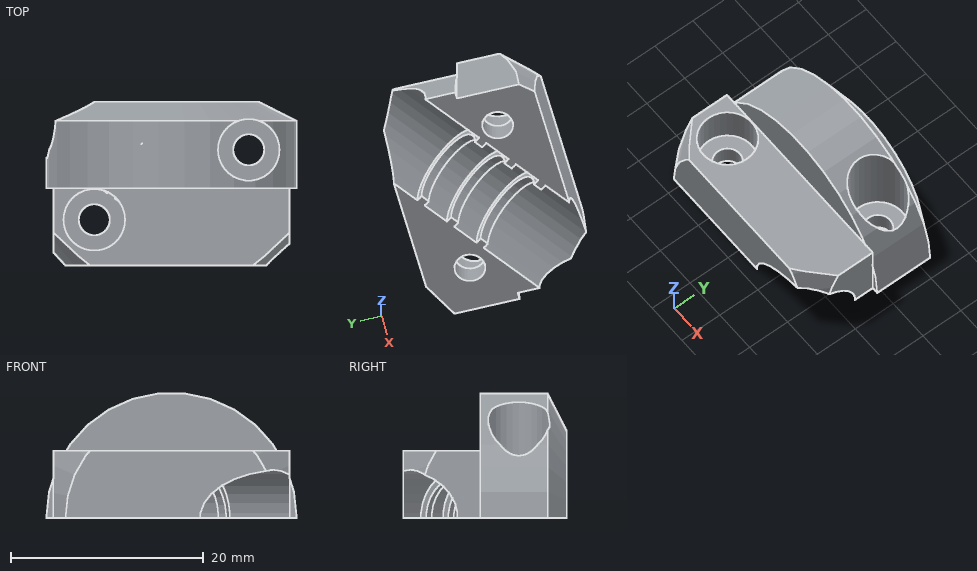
import cadquery as cq

FLATS = 30

DISC_RADIUS = 13.0
DISC_THICKNESS = 7.0
BACK_TAPER_DEPTH = 2.0
BACK_TAPER_RADIUS = 9.05

BLOCK_WIDTH = 24.5
BLOCK_DEPTH = 8.0
BLOCK_HEIGHT = 7.0
TRIM_FRONT_RADIUS = 11.0
TRIM_BACK_RADIUS = 18.4

SCREW_X = 8.0
SCREW_CENTRES = [(-SCREW_X, -3.25), (SCREW_X, 4.0)]
SCREW_DIAMETER = 3.2
SCREW_HEAD_DIAMETER = 6.4
SCREW_SEAT_HEIGHT = 2.47

HOSE_ANGLE = 35.0
HOSE_RADIUS = 5.0
HOSE_LENGTH = 52.0
HOSE_OFFSET_Y = 0.15
RIB_INNER_RADIUS = 4.32
RIB_WIDTH = 1.0
RIB_PITCH = 4.0
MIDDLE_RIB_START = -1.1


def frustum_along_y(front_y, front_radius, depth, back_radius):
    """Many-sided frustum on the Y axis, with corners on the XY plane."""
    return (
        cq.Workplane("XZ", origin=(0, front_y, 0))
        .polygon(FLATS, 2 * front_radius)
        .workplane(offset=-depth)
        .polygon(FLATS, 2 * back_radius)
        .loft(ruled=True)
    )


def prism_along_x(start, length, radius):
    """Many-sided prism on the X axis, with a corner at the very top."""
    return (
        cq.Workplane("YZ", origin=(start, 0, 0))
        .transformed(rotate=(0, 0, 90))
        .polygon(FLATS, 2 * radius)
        .extrude(length)
    )


def make_disc():
    plain = frustum_along_y(0, DISC_RADIUS, DISC_THICKNESS, DISC_RADIUS)
    taper = frustum_along_y(DISC_THICKNESS, DISC_RADIUS, BACK_TAPER_DEPTH, BACK_TAPER_RADIUS)
    upper_half = cq.Workplane("XY").box(
        2 * DISC_RADIUS,
        DISC_THICKNESS + BACK_TAPER_DEPTH,
        DISC_RADIUS,
        centered=(True, False, False),
    )
    return plain.union(taper).intersect(upper_half)


def make_block():
    block = cq.Workplane("XY", origin=(0, -BLOCK_DEPTH, 0)).box(
        BLOCK_WIDTH, BLOCK_DEPTH, BLOCK_HEIGHT, centered=(True, False, False)
    )
    trim = frustum_along_y(-BLOCK_DEPTH, TRIM_FRONT_RADIUS, BLOCK_DEPTH, TRIM_BACK_RADIUS)
    return block.intersect(trim)


def make_screw_cutter():
    shanks = (
        cq.Workplane("XY")
        .pushPoints(SCREW_CENTRES)
        .polygon(FLATS, SCREW_DIAMETER)
        .extrude(DISC_RADIUS)
    )
    heads = (
        cq.Workplane("XY", origin=(0, 0, SCREW_SEAT_HEIGHT))
        .pushPoints(SCREW_CENTRES)
        .polygon(FLATS, SCREW_HEAD_DIAMETER)
        .extrude(DISC_RADIUS)
    )
    return shanks.union(heads)


def make_hose_cutter():
    """Hose shape with three narrow grooves, which leave ribs standing in the channel."""
    hose = prism_along_x(-HOSE_LENGTH / 2, HOSE_LENGTH, HOSE_RADIUS)
    for index in (-1, 0, 1):
        start = MIDDLE_RIB_START + index * RIB_PITCH
        rib = prism_along_x(start, RIB_WIDTH, 2 * HOSE_RADIUS)
        rib = rib.cut(prism_along_x(start, RIB_WIDTH, RIB_INNER_RADIUS))
        hose = hose.cut(rib)
    return hose.rotate((0, 0, 0), (0, 0, 1), -HOSE_ANGLE).translate((0, HOSE_OFFSET_Y, 0))


result = make_disc().union(make_block()).cut(make_hose_cutter()).cut(make_screw_cutter())